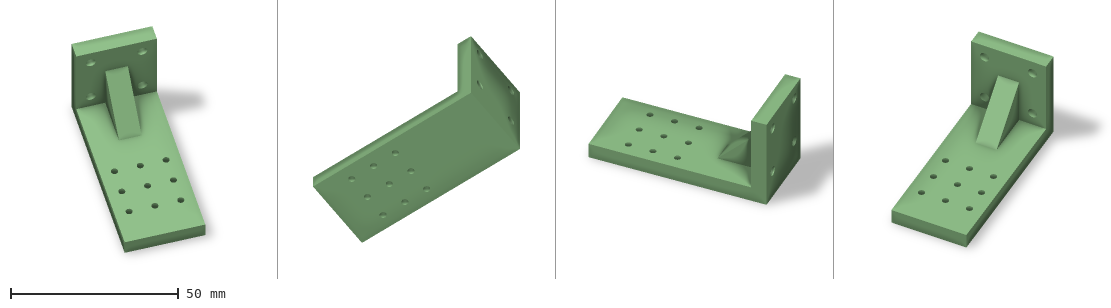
import cadquery as cq

length = 58.0
width = 25.0
height = 30.0
thickness = 5.0

gusset_leg = 15.0
gusset_width = 7.0

base_hole_diameter = 2.1
base_hole_count = 3
base_hole_pitch = 8.0
base_grid_center_x = 39.0

wall_hole_diameter = 3.1
wall_hole_count = 2
wall_hole_edge_distance = 4.5
wall_hole_pitch = width - 2 * wall_hole_edge_distance
wall_pattern_center_z = height - wall_hole_edge_distance - wall_hole_pitch / 2


def make_angle():
    """L-shaped profile in XZ, centred on Y = 0."""
    return (
        cq.Workplane("XZ")
        .moveTo(0, 0)
        .lineTo(length, 0)
        .lineTo(length, thickness)
        .lineTo(thickness, thickness)
        .lineTo(thickness, height)
        .lineTo(0, height)
        .close()
        .extrude(width / 2, both=True)
    )


def make_gusset():
    """Right-angled triangular rib joining the wall to the base plate."""
    return (
        cq.Workplane("XZ")
        .moveTo(thickness, thickness)
        .lineTo(thickness + gusset_leg, thickness)
        .lineTo(thickness, thickness + gusset_leg)
        .close()
        .extrude(gusset_width / 2, both=True)
    )


def make_base_holes():
    """Vertical cylinders on a square grid, as long as the base is thick."""
    return (
        cq.Workplane("XY")
        .center(base_grid_center_x, 0)
        .rarray(base_hole_pitch, base_hole_pitch, base_hole_count, base_hole_count)
        .circle(base_hole_diameter / 2)
        .extrude(thickness)
    )


def make_wall_holes():
    """Cylinders along X in a square pattern, as long as the wall is thick."""
    return (
        cq.Workplane("YZ")
        .center(0, wall_pattern_center_z)
        .rarray(wall_hole_pitch, wall_hole_pitch, wall_hole_count, wall_hole_count)
        .circle(wall_hole_diameter / 2)
        .extrude(thickness)
    )


bracket = make_angle().union(make_gusset())
result = bracket.cut(make_base_holes()).cut(make_wall_holes())